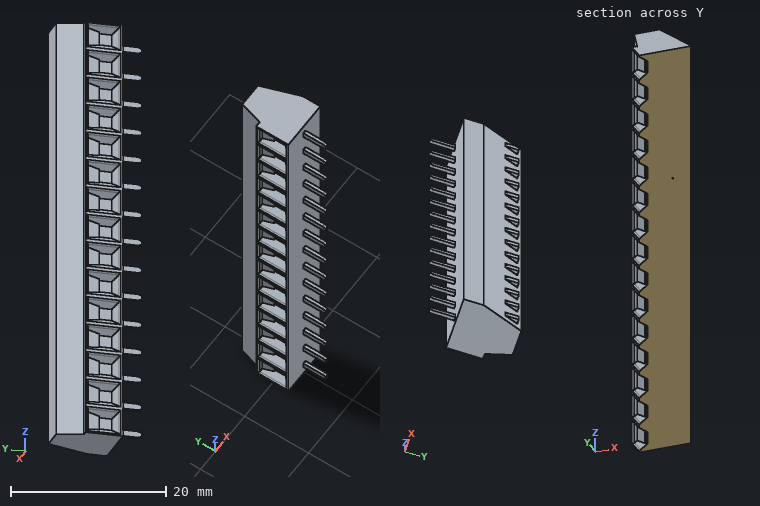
import cadquery as cq

pole_count = 15
pitch = 3.81
row_length = pole_count * pitch

housing_depth = 7.3
housing_height = 8.5
entry_face_height = 5.05
ledge_depth = 0.8
crown_front_x = 1.8
crown_back_x = 5.35
back_wall_height = 2.75

rim_bottom = 0.35
rim_top = 4.87
rim_half_width = 1.68
mouth_x = 0.25
mouth_bottom = 0.5
mouth_top = 4.65
mouth_half_width = 1.5
funnel_floor_x = 1.18
funnel_floor_bottom = 1.2
funnel_floor_top = 4.4
funnel_floor_half_width = 0.78
ledge_edge_y = 2.9
ledge_edge_x = 1.0
ledge_top_x = 0.57

lug_back_x = 6.2
lug_bottom = 6.0
lug_top = 7.85
lug_width = 1.0

overall_height = 12.0
pin_length = overall_height - housing_height
pin_thickness = 0.5
pin_width = 0.85
pin_tip_width = 0.55
pin_tip_length = 0.5
pin_x = housing_depth / 2


def make_housing():
    outline = [
        (0, 0),
        (housing_depth, 0),
        (housing_depth, back_wall_height),
        (crown_back_x, housing_height),
        (crown_front_x, housing_height),
        (ledge_depth, entry_face_height),
        (0, entry_face_height),
    ]
    return cq.Workplane("XY").polyline(outline).close().extrude(row_length)


def rectangle_across_x(x, bottom, top, half_width):
    """Closed wire in the plane at x, spanning bottom to top in Y and centred on Z = 0."""
    corners = [
        cq.Vector(x, bottom, -half_width),
        cq.Vector(x, top, -half_width),
        cq.Vector(x, top, half_width),
        cq.Vector(x, bottom, half_width),
    ]
    return cq.Wire.makePolygon(corners, close=True)


def make_wire_entry():
    """Cutting body of one wire entry, centred on Z = 0."""
    rim = rectangle_across_x(0, rim_bottom, rim_top, rim_half_width)
    mouth = rectangle_across_x(mouth_x, mouth_bottom, mouth_top, mouth_half_width)
    floor = rectangle_across_x(
        funnel_floor_x, funnel_floor_bottom, funnel_floor_top, funnel_floor_half_width
    )
    lead_in = cq.Workplane(obj=cq.Solid.makeLoft([rim, mouth], True))
    funnel = cq.Workplane(obj=cq.Solid.makeLoft([mouth, floor], True))
    ledge = (
        cq.Workplane("XY", origin=(0, 0, -rim_half_width))
        .moveTo(ledge_edge_x, ledge_edge_y)
        .lineTo(ledge_top_x, rim_top)
        .lineTo(funnel_floor_x, rim_top)
        .lineTo(funnel_floor_x, ledge_edge_y)
        .close()
        .extrude(2 * rim_half_width)
    )
    return lead_in.union(funnel.cut(ledge))


def make_lug():
    """Small block on the back slope, its inner side buried in the housing."""
    return cq.Workplane("XY").box(
        lug_back_x - pin_x, lug_top - lug_bottom, lug_width, centered=(False, False, True)
    ).translate((pin_x, lug_bottom, 0))


def make_pin():
    """Flat pin below the mounting face, narrowing in Z at its tip."""
    shoulder_y = pin_tip_length - pin_length
    outline = [
        (0, pin_width / 2),
        (shoulder_y, pin_width / 2),
        (-pin_length, pin_tip_width / 2),
        (-pin_length, -pin_tip_width / 2),
        (shoulder_y, -pin_width / 2),
        (0, -pin_width / 2),
    ]
    return (
        cq.Workplane("YZ", origin=(pin_x - pin_thickness / 2, 0, 0))
        .polyline(outline)
        .close()
        .extrude(pin_thickness)
    )


result = make_housing()
wire_entry = make_wire_entry()
lug = make_lug()
pin = make_pin()
for pole in range(pole_count):
    pole_centre = (0, 0, (pole + 0.5) * pitch)
    result = result.cut(wire_entry.translate(pole_centre))
    result = result.union(lug.translate(pole_centre))
    result = result.union(pin.translate(pole_centre))